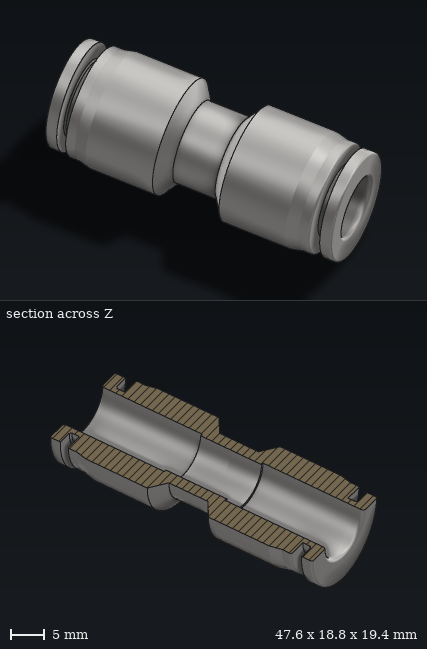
import cadquery as cq

length = 47.6
half_length = length / 2

barrel_radius = 18.8 / 2
lip_radius = 17.9 / 2
waist_radius = 13.3 / 2
body_start = 3.5
lip_end = 5.25
barrel_start = 7.25
barrel_end = 18.3
waist_start = 20.3
lip_edge_radius = 0.3

flange_major_radius = 9.75
flange_minor_radius = 8.5
flange_tilt = 10.0
flange_thickness = 1.95
flange_edge_radius = 0.35
neck_radius = 11.9 / 2
neck_root_chamfer = 0.3

socket_radius = 9.8 / 2
bore_radius = 9.0 / 2
mouth_radius = 0.55


def turned(profile):
    """Revolve an (x, radius) profile about the X axis."""
    return cq.Workplane("XY").polyline(profile).close().revolve(360, (0, 0, 0), (1, 0, 0))


def make_body_half():
    half = turned([
        (-half_length + body_start, 0),
        (-half_length + body_start, lip_radius),
        (-half_length + lip_end, lip_radius),
        (-half_length + barrel_start, barrel_radius),
        (-half_length + barrel_end, barrel_radius),
        (-half_length + waist_start, waist_radius),
        (0, waist_radius),
        (0, 0),
    ])
    return half.faces("<X").edges().fillet(lip_edge_radius)


def make_collar():
    flange = (
        cq.Workplane("YZ", origin=(-half_length, 0, 0))
        .ellipse(flange_minor_radius, flange_major_radius)
        .extrude(flange_thickness)
        .faces("<X").edges().fillet(flange_edge_radius)
        .rotate((0, 0, 0), (1, 0, 0), flange_tilt)
    )
    flange_back = -half_length + flange_thickness
    neck_end = -half_length + lip_end
    neck = turned([
        (flange_back, 0),
        (flange_back, neck_radius + neck_root_chamfer),
        (flange_back + neck_root_chamfer, neck_radius),
        (neck_end, neck_radius),
        (neck_end, 0),
    ])
    return flange.union(neck)


def make_passage_half():
    """Flared mouth, socket as deep as the barrel, then the narrow bore."""
    socket_end = -half_length + barrel_end
    return (
        cq.Workplane("XY")
        .moveTo(-half_length, 0)
        .lineTo(-half_length, socket_radius + mouth_radius)
        .radiusArc((-half_length + mouth_radius, socket_radius), -mouth_radius)
        .lineTo(socket_end, socket_radius)
        .lineTo(socket_end, bore_radius)
        .lineTo(0, bore_radius)
        .lineTo(0, 0)
        .close()
        .revolve(360, (0, 0, 0), (1, 0, 0))
    )


left_half = make_body_half().union(make_collar()).cut(make_passage_half())
right_half = left_half.mirror("YZ")
result = left_half.union(right_half, clean=True)